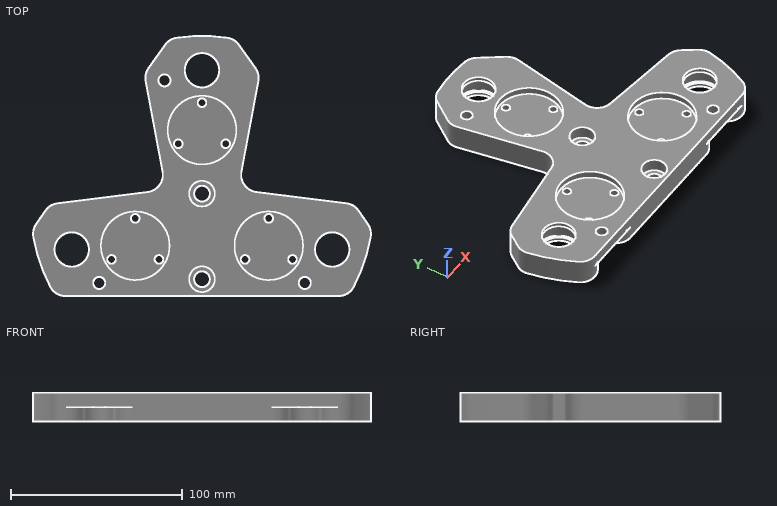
import cadquery as cq
import math

thickness = 17.0
end_radius = 100.0
front_y = -52.0
corner_radius = 10.0

rear_arm_end_x = 19.1
rear_arm_shoulder = (33.7, 77.8)
inner_corner = (21.1, 10.3)
side_arm_shoulder = (88.8, 1.8)
side_arm_end_y = -13.2

port_pitch_radius = 80.0
port_angles = (90, -18, 198)
port_diameter = 20.0
port_lip = 3.0
port_seat_diameter = 24.0
ring_groove_diameter = 25.3
ring_groove_top = 13.0
ring_groove_width = 1.2

recess_pitch_radius = 45.0
recess_angles = (90, -30, 210)
recess_diameter = 40.0
recess_depth = 5.0
recess_hole_diameter = 5.0
recess_hole_pitch_radius = 16.0

center_bolt_y = (7.9, -42.0)
center_bolt_diameter = 9.0
center_counterbore_diameter = 15.0
counterbore_depth = thickness / 2

rear_arm_bolt = (-22.0, 74.0)
side_arm_bolt_x = 60.0
side_arm_bolt_y = -44.2
arm_bolt_diameter = 7.0
arm_counterbore_diameter = 18.0


def mirrored(point):
    return (-point[0], point[1])


def polar(radius, angle):
    return (radius * math.cos(math.radians(angle)), radius * math.sin(math.radians(angle)))


def cylinder(center, diameter, top_depth, bottom_depth):
    """Vertical cylinder between two depths below the top face."""
    return (
        cq.Workplane("XY", origin=(center[0], center[1], -bottom_depth))
        .circle(diameter / 2)
        .extrude(bottom_depth - top_depth)
    )


def plate():
    rear_end = (rear_arm_end_x, math.sqrt(end_radius**2 - rear_arm_end_x**2))
    side_end = (math.sqrt(end_radius**2 - side_arm_end_y**2), side_arm_end_y)
    front_corner = (math.sqrt(end_radius**2 - front_y**2), front_y)
    side_end_angle = math.degrees(math.atan2(side_end[1], side_end[0]))
    front_angle = math.degrees(math.atan2(front_corner[1], front_corner[0]))
    side_middle = polar(end_radius, (side_end_angle + front_angle) / 2)
    outline = (
        cq.Workplane("XY", origin=(0, 0, -thickness))
        .moveTo(*mirrored(rear_end))
        .threePointArc((0, end_radius), rear_end)
        .lineTo(*rear_arm_shoulder)
        .lineTo(*inner_corner)
        .lineTo(*side_arm_shoulder)
        .lineTo(*side_end)
        .threePointArc(side_middle, front_corner)
        .lineTo(*mirrored(front_corner))
        .threePointArc(mirrored(side_middle), mirrored(side_end))
        .lineTo(*mirrored(side_arm_shoulder))
        .lineTo(*mirrored(inner_corner))
        .lineTo(*mirrored(rear_arm_shoulder))
        .close()
    )
    return outline.extrude(thickness).edges("|Z").fillet(corner_radius)


def port(center):
    """Through hole with a wider seat from below and a retaining ring groove in the seat."""
    groove_bottom = ring_groove_top + ring_groove_width
    return (
        cylinder(center, port_diameter, 0, thickness)
        .union(cylinder(center, port_seat_diameter, port_lip, thickness))
        .union(cylinder(center, ring_groove_diameter, ring_groove_top, groove_bottom))
    )


def recess(center):
    cutter = cylinder(center, recess_diameter, 0, recess_depth)
    for angle in recess_angles:
        dx, dy = polar(recess_hole_pitch_radius, angle)
        hole_center = (center[0] + dx, center[1] + dy)
        cutter = cutter.union(cylinder(hole_center, recess_hole_diameter, 0, thickness))
    return cutter


def center_bolt(center):
    hole = cylinder(center, center_bolt_diameter, 0, thickness)
    return hole.union(cylinder(center, center_counterbore_diameter, 0, counterbore_depth))


def arm_bolt(center):
    hole = cylinder(center, arm_bolt_diameter, 0, thickness)
    return hole.union(cylinder(center, arm_counterbore_diameter, counterbore_depth, thickness))


def front_opening(center):
    """Mouth joining a lower counterbore to the front face, its sides flared by tangent arcs."""
    bore_radius = arm_counterbore_diameter / 2
    rise = center[1] - (front_y + corner_radius)
    half_width = math.sqrt((bore_radius + corner_radius) ** 2 - rise**2)
    touch_ratio = bore_radius / (bore_radius + corner_radius)
    touch_x = half_width * touch_ratio
    touch_y = center[1] - rise * touch_ratio
    front_touch_angle = 270
    bore_touch_angle = 180 - math.degrees(math.atan2(rise, half_width))
    mid_dx, mid_dy = polar(corner_radius, (front_touch_angle + bore_touch_angle) / 2)
    mid_x = half_width + mid_dx
    mid_y = front_y + corner_radius + mid_dy
    return (
        cq.Workplane("XY", origin=(center[0], 0, -thickness))
        .moveTo(-half_width, front_y)
        .threePointArc((-mid_x, mid_y), (-touch_x, touch_y))
        .lineTo(touch_x, touch_y)
        .threePointArc((mid_x, mid_y), (half_width, front_y))
        .close()
        .extrude(thickness - counterbore_depth)
    )


result = plate()

for port_angle in port_angles:
    result = result.cut(port(polar(port_pitch_radius, port_angle)))

for recess_angle in recess_angles:
    result = result.cut(recess(polar(recess_pitch_radius, recess_angle)))

for bolt_y in center_bolt_y:
    result = result.cut(center_bolt((0, bolt_y)))

result = result.cut(arm_bolt(rear_arm_bolt))
for side in (-1, 1):
    side_arm_bolt = (side * side_arm_bolt_x, side_arm_bolt_y)
    result = result.cut(arm_bolt(side_arm_bolt)).cut(front_opening(side_arm_bolt))